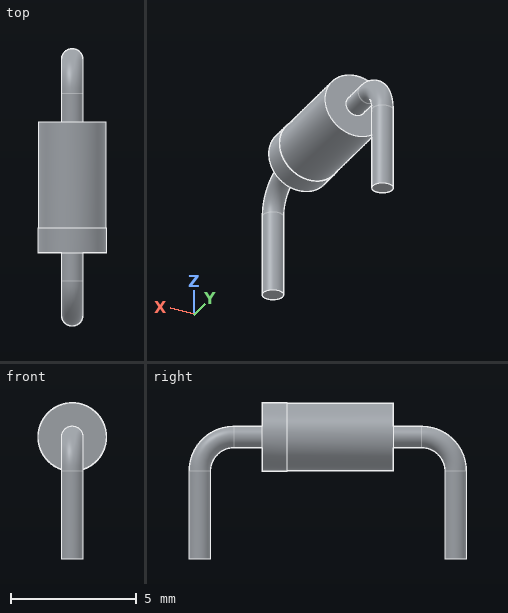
import cadquery as cq

overall_length = 11.02
overall_height = 6.22

band_diameter = 2.73
case_diameter = 2.7
package_length = 5.2
band_length = 0.99

wire_diameter = 0.86
bend_radius = 1.35

package_end = package_length / 2
band_joint = -package_end + band_length
leg_offset = (overall_length - wire_diameter) / 2
bend_start = leg_offset - bend_radius
leg_bottom = band_diameter / 2 - overall_height


def bored_cylinder(diameter, y_start, y_end):
    """Cylinder along Y with a through bore that fits the wire."""
    return (
        cq.Workplane("XZ", origin=(0, y_start, 0))
        .circle(diameter / 2)
        .circle(wire_diameter / 2)
        .extrude(y_start - y_end)
    )


def make_wire():
    """One continuous wire through the package, bent down at both ends."""
    bend_middle_inset = bend_radius * (1 - 0.5**0.5)
    bend_middle_y = leg_offset - bend_middle_inset
    centreline = (
        cq.Workplane("YZ")
        .moveTo(-leg_offset, leg_bottom)
        .lineTo(-leg_offset, -bend_radius)
        .threePointArc((-bend_middle_y, -bend_middle_inset), (-bend_start, 0))
        .lineTo(bend_start, 0)
        .threePointArc((bend_middle_y, -bend_middle_inset), (leg_offset, -bend_radius))
        .lineTo(leg_offset, leg_bottom)
    )
    return (
        cq.Workplane("XY", origin=(0, -leg_offset, leg_bottom))
        .circle(wire_diameter / 2)
        .sweep(centreline)
    )


case = bored_cylinder(case_diameter, band_joint, package_end)
band = bored_cylinder(band_diameter, -package_end, band_joint)
wire = make_wire()

result = cq.Compound.makeCompound([case.val(), band.val(), wire.val()])